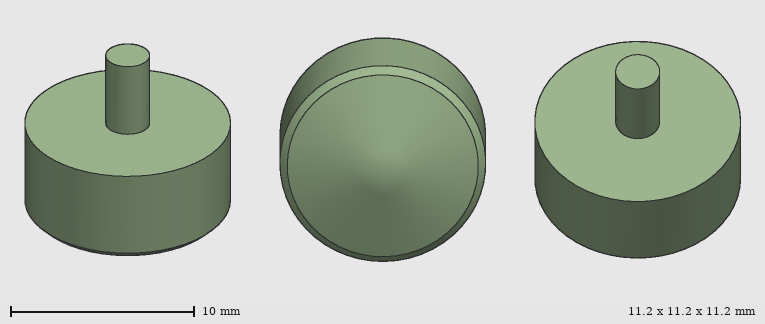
import cadquery as cq

total_height = 11.2
body_diameter = 11.2
pin_diameter = 2.4
pin_length = 4.3
chamfer_size = 0.4
cone_height = 1.6

body_radius = body_diameter / 2
pin_radius = pin_diameter / 2
cone_radius = body_radius - chamfer_size
shoulder_z = total_height - pin_length
chamfer_top_z = cone_height + chamfer_size

profile = [
    (0, 0),
    (cone_radius, cone_height),
    (body_radius, chamfer_top_z),
    (body_radius, shoulder_z),
    (pin_radius, shoulder_z),
    (pin_radius, total_height),
    (0, total_height),
]

result = cq.Workplane("XZ").polyline(profile).close().revolve(360, (0, 0, 0), (0, 1, 0))